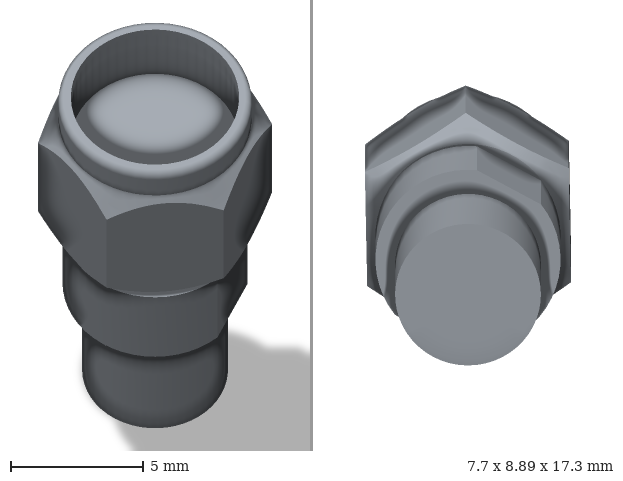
import cadquery as cq
import math

total_height = 17.27

ferrule_diameter = 5.51
ferrule_top = 4.73
groove_diameter = 4.52

body_diameter = 7.0
body_across_flats = 6.42
body_bottom = 5.53
body_top = 9.29

neck_diameter = 5.56

nut_across_flats = 7.7
nut_across_corners = nut_across_flats / math.cos(math.radians(30))
nut_bottom = 9.75
nut_top = 15.95
nut_bottom_face_diameter = 6.9
nut_lower_bevel_height = 0.9
nut_upper_bevel_height = 1.0

collar_diameter = 7.3
rim_fillet = 0.31
bore_diameter = 6.35
bore_depth = 2.8


def cylinder(diameter, bottom, top):
    return cq.Workplane("XY").workplane(offset=bottom).circle(diameter / 2).extrude(top - bottom)


def flatted_body():
    height = body_top - body_bottom
    flats = cq.Workplane("XY").box(body_across_flats, body_diameter, height, centered=(True, True, False))
    return cylinder(body_diameter, body_bottom, body_top).intersect(flats.translate((0, 0, body_bottom)))


def coupling_nut():
    hexagon = (
        cq.Workplane("XY")
        .workplane(offset=nut_bottom)
        .transformed(rotate=(0, 0, 90))
        .polygon(6, nut_across_corners)
        .extrude(nut_top - nut_bottom)
    )
    corner_radius = nut_across_corners / 2
    envelope = (
        cq.Workplane("XZ")
        .moveTo(0, nut_bottom)
        .lineTo(nut_bottom_face_diameter / 2, nut_bottom)
        .lineTo(corner_radius, nut_bottom + nut_lower_bevel_height)
        .lineTo(corner_radius, nut_top - nut_upper_bevel_height)
        .lineTo(collar_diameter / 2, nut_top)
        .lineTo(0, nut_top)
        .close()
        .revolve(360, (0, 0, 0), (0, 1, 0))
    )
    return hexagon.intersect(envelope)


def collar():
    return cylinder(collar_diameter, nut_top, total_height).faces(">Z").edges().fillet(rim_fillet)


result = (
    cylinder(ferrule_diameter, 0, ferrule_top)
    .union(cylinder(groove_diameter, ferrule_top, body_bottom))
    .union(flatted_body())
    .union(cylinder(neck_diameter, body_top, nut_bottom))
    .union(coupling_nut())
    .union(collar())
    .cut(cylinder(bore_diameter, total_height - bore_depth, total_height))
)